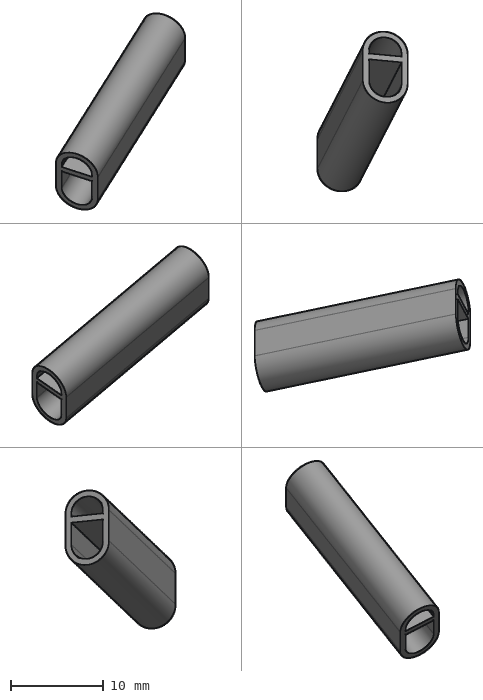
import cadquery as cq

length = 23.0
width = 5.0
height = 8.5
wall = 0.7
web_center_z = 1.1


def oval_bar(bar_width, bar_height):
    """Upright bar with fully rounded ends in section, centred on the Y axis."""
    return (
        cq.Workplane("XZ")
        .slot2D(bar_height, bar_width, 90)
        .extrude(length / 2, both=True)
    )


outer = oval_bar(width, height)
bore = oval_bar(width - 2 * wall, height - 2 * wall)

web = (
    cq.Workplane("XY")
    .box(width, length, wall)
    .translate((0, 0, web_center_z))
    .intersect(outer)
)

result = outer.cut(bore).union(web)